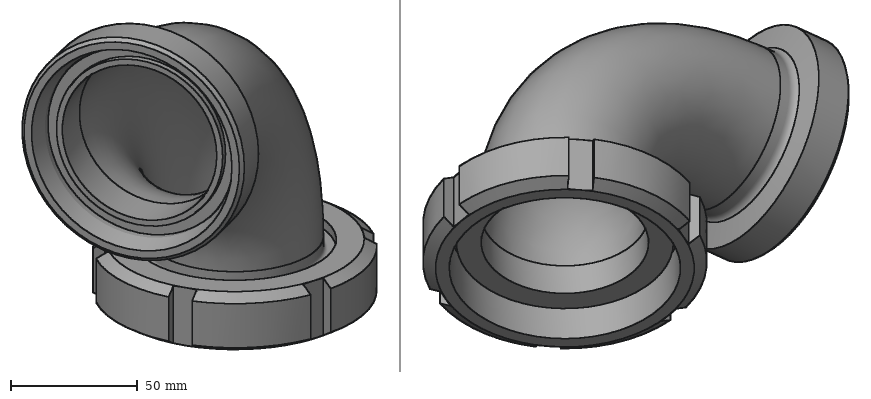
import cadquery as cq
import math

PIPE_OD = 70.0
PIPE_ID = 66.0
BEND_RADIUS = 80.0

MALE_OD = 95.0
MALE_LENGTH = 25.5
MALE_NECK_LENGTH = 4.5
MALE_BACK_END = 9.5
MALE_FRONT_CHAMFER = 1.5
MALE_FILLET_RADIUS = 3.5
MALE_FILLET_SWEEP = 65.0
SEAT_MOUTH_D = 85.6
SEAT_DEPTH = 8.0
GROOVE_OD = 80.8
GROOVE_ID = 71.0
GROOVE_DEPTH = 3.0

LINER_NECK_LENGTH = 4.0
LINER_FILLET_RADIUS = 1.7
LINER_FILLET_SWEEP = 90.0
COLLAR_OD = SEAT_MOUTH_D
COLLAR_HEIGHT = SEAT_DEPTH

NUT_OD = 112.0
NUT_HEIGHT = 25.0
NUT_TOP_GAP = 1.5
NUT_HOLE_D = 80.0
NUT_BORE_D = 91.19
NUT_FACE_D = 102.0
NUT_CHAMFER_HEIGHT = 3.0
NUT_LIP_HEIGHT = LINER_NECK_LENGTH + LINER_FILLET_RADIUS - NUT_TOP_GAP
SLOT_COUNT = 6
SLOT_WIDTH = 10.0
SLOT_FLOOR_RADIUS = NUT_FACE_D / 2


def revolve_profile(profile):
    """Close a (radius, distance along axis) profile and turn it about its axis."""
    return profile.close().revolve(360, (0, 0, 0), (0, 1, 0))


def place_at_bottom_port(body):
    """Move a body built along +Y so that it runs down (-Z) from the bottom end of the bend."""
    return body.rotate((0, 0, 0), (1, 0, 0), -90).translate((0, 0, -BEND_RADIUS))


def place_at_front_port(body):
    """Move a body built along +Y so that it runs forward (-Y) from the front end of the bend."""
    return body.rotate((0, 0, 0), (1, 0, 0), 180).translate((0, -BEND_RADIUS, 0))


def root_fillet_point(neck_length, radius, angle):
    """Point on the concave fillet that leaves the neck, `angle` degrees along its arc."""
    turn = math.radians(angle)
    return (
        PIPE_OD / 2 + radius * (1 - math.cos(turn)),
        neck_length + radius * math.sin(turn),
    )


def neck_with_fillet(neck_length, radius, sweep):
    """Start a profile with the bore end, the neck and the root fillet."""
    fillet_middle = root_fillet_point(neck_length, radius, sweep / 2)
    fillet_end = root_fillet_point(neck_length, radius, sweep)
    return (
        cq.Workplane("XY")
        .moveTo(PIPE_ID / 2, 0)
        .lineTo(PIPE_OD / 2, 0)
        .lineTo(PIPE_OD / 2, neck_length)
        .threePointArc(fillet_middle, fillet_end)
    )


def make_elbow():
    """Quarter-turn pipe from the bottom port to the front port."""
    section = (
        cq.Workplane("XY")
        .workplane(offset=-BEND_RADIUS)
        .circle(PIPE_OD / 2)
        .circle(PIPE_ID / 2)
    )
    return section.revolve(90, (-1, -BEND_RADIUS, 0), (1, -BEND_RADIUS, 0))


def make_male_end():
    """Flanged end with a conical seat and a seal groove behind it."""
    seat_floor = MALE_LENGTH - SEAT_DEPTH
    groove_floor = seat_floor - GROOVE_DEPTH
    profile = (
        neck_with_fillet(MALE_NECK_LENGTH, MALE_FILLET_RADIUS, MALE_FILLET_SWEEP)
        .lineTo(MALE_OD / 2, MALE_BACK_END)
        .lineTo(MALE_OD / 2, MALE_LENGTH - MALE_FRONT_CHAMFER)
        .lineTo(MALE_OD / 2 - MALE_FRONT_CHAMFER, MALE_LENGTH)
        .lineTo(SEAT_MOUTH_D / 2, MALE_LENGTH)
        .lineTo(GROOVE_OD / 2, seat_floor)
        .lineTo(GROOVE_OD / 2, groove_floor)
        .lineTo(GROOVE_ID / 2, groove_floor)
        .lineTo(GROOVE_ID / 2, seat_floor)
        .lineTo(PIPE_ID / 2, seat_floor)
    )
    return place_at_front_port(revolve_profile(profile))


def make_liner():
    """Welded collar that the nut's lip pulls on."""
    shoulder = LINER_NECK_LENGTH + LINER_FILLET_RADIUS
    collar_end = shoulder + COLLAR_HEIGHT
    profile = (
        neck_with_fillet(LINER_NECK_LENGTH, LINER_FILLET_RADIUS, LINER_FILLET_SWEEP)
        .lineTo(COLLAR_OD / 2, shoulder)
        .lineTo(COLLAR_OD / 2, collar_end)
        .lineTo(PIPE_ID / 2, collar_end)
    )
    return place_at_bottom_port(revolve_profile(profile))


def make_nut():
    """Ring with an inner lip at the top, chamfered rims and wrench slots around it."""
    top = -BEND_RADIUS - NUT_TOP_GAP
    bottom = top - NUT_HEIGHT
    lip_end = top - NUT_LIP_HEIGHT
    profile = (
        cq.Workplane("YZ")
        .moveTo(NUT_HOLE_D / 2, top)
        .lineTo(NUT_FACE_D / 2, top)
        .lineTo(NUT_OD / 2, top - NUT_CHAMFER_HEIGHT)
        .lineTo(NUT_OD / 2, bottom + NUT_CHAMFER_HEIGHT)
        .lineTo(NUT_FACE_D / 2, bottom)
        .lineTo(NUT_BORE_D / 2, bottom)
        .lineTo(NUT_BORE_D / 2, lip_end)
        .lineTo(NUT_HOLE_D / 2, lip_end)
    )
    nut = revolve_profile(profile)
    slot = (
        cq.Workplane("XY")
        .box(SLOT_WIDTH, NUT_OD / 2, NUT_HEIGHT, centered=(True, False, False))
        .translate((0, SLOT_FLOOR_RADIUS, bottom))
    )
    for index in range(SLOT_COUNT):
        nut = nut.cut(slot.rotate((0, 0, 0), (0, 0, 1), index * 360 / SLOT_COUNT))
    return nut


elbow = make_elbow()
male_end = make_male_end()
liner = make_liner()
nut = make_nut()

result = cq.Compound.makeCompound([elbow.val(), male_end.val(), liner.val(), nut.val()])